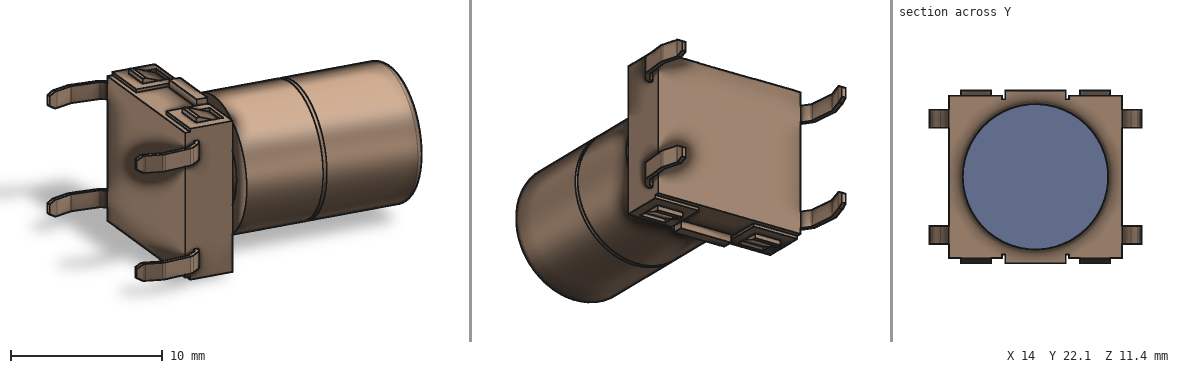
import cadquery as cq
import math


housing_width = 11.4
housing_depth = 3.5
base_height = 10.25
plate_height = 10.7
overall_height = 11.4

plate_width = 3.5
plate_setback = 0.37

tab_width = 4.0
tab_depth = 0.8

latch_size = 2.0
latch_offset = 3.92
latch_back_gap = 0.3
latch_sink = 0.28
latch_flat = 0.28

stem_diameter = 6.6
stem_length = 1.5
cap_diameter = 9.6
cap_length = 13.1
cap_edge_radius = 0.5
seam_from_cap_top = 7.33
seam_width = 0.28
seam_depth = 0.07

lead_span = 14.0
lead_thickness = 0.3
lead_width = 1.2
lead_offset = 3.83
lead_exit_y = 0.93
lead_length = 4.0
lead_root = 0.5
shoulder_x = 6.08
knee_x = 6.79
knee_y = -0.03
widest_y = -2.22
ankle_x = 6.63
ankle_y = -3.47
tip_x = 6.57
shoulder_inner_radius = 0.4
bend_inner_radius = 0.2
tip_taper_length = 0.46
tip_taper_depth = 0.26

housing_half_width = housing_width / 2
plate_z = plate_height / 2
top_z = overall_height / 2


def box(x_range, y_range, z_range):
    """Axis-aligned box between pairs of limits."""
    size = [limits[1] - limits[0] for limits in (x_range, y_range, z_range)]
    corner = (x_range[0], y_range[0], z_range[0])
    return cq.Workplane("XY").box(*size, centered=False).translate(corner)


def mirrored(shape, plane):
    """The shape joined with its mirror image."""
    return shape.union(shape.mirror(plane))


def make_corner_plate():
    """Plate at +X, +Z with a window and the latch ramp inside it."""
    plate = box(
        (housing_half_width - plate_width, housing_half_width),
        (plate_setback, housing_depth),
        (0, plate_z),
    )
    window_x = latch_offset - latch_size / 2
    ramp_low_y = housing_depth - latch_back_gap
    ramp_end_y = ramp_low_y - latch_size
    sunk_z = plate_z - latch_sink
    window = box((window_x, window_x + latch_size), (ramp_end_y, ramp_low_y), (sunk_z, top_z))
    ramp = (
        cq.Workplane("YZ", origin=(window_x, 0, 0))
        .polyline([
            (ramp_low_y, sunk_z),
            (ramp_end_y + latch_flat, top_z),
            (ramp_end_y, top_z),
            (ramp_end_y, sunk_z),
        ])
        .close()
        .extrude(latch_size)
    )
    return window, plate, ramp


def make_housing():
    base = box(
        (-housing_half_width, housing_half_width),
        (0, housing_depth),
        (-base_height / 2, base_height / 2),
    )
    tab = box(
        (-tab_width / 2, tab_width / 2),
        (housing_depth - tab_depth, housing_depth),
        (0, top_z),
    )
    window, plate, ramp = (
        mirrored(mirrored(shape, "YZ"), "XY") for shape in make_corner_plate()
    )
    return base.union(plate).union(mirrored(tab, "XY")).cut(window).union(ramp)


def make_button():
    """Stem and cap as one revolved profile with a rounded seam groove."""
    stem_radius = stem_diameter / 2
    cap_radius = cap_diameter / 2
    cap_start = housing_depth + stem_length
    cap_end = cap_start + cap_length
    seam_y = cap_end - seam_from_cap_top
    arc_offset = cap_edge_radius * (1 - math.sqrt(0.5))
    return (
        cq.Workplane("XY")
        .moveTo(0, housing_depth)
        .lineTo(stem_radius, housing_depth)
        .lineTo(stem_radius, cap_start)
        .lineTo(cap_radius, cap_start)
        .lineTo(cap_radius, seam_y - seam_width / 2)
        .threePointArc(
            (cap_radius - seam_depth, seam_y),
            (cap_radius, seam_y + seam_width / 2),
        )
        .lineTo(cap_radius, cap_end - cap_edge_radius)
        .threePointArc(
            (cap_radius - arc_offset, cap_end - arc_offset),
            (cap_radius - cap_edge_radius, cap_end),
        )
        .lineTo(0, cap_end)
        .close()
        .revolve(360, (0, 0, 0), (0, 1, 0))
    )


def inner_side(outer):
    """Points of a polyline moved to its right by the lead thickness, mitred at the corners."""
    headings = [
        math.atan2(end[1] - start[1], end[0] - start[0])
        for start, end in zip(outer, outer[1:])
    ]
    arriving = headings[:1] + headings
    leaving = headings + headings[-1:]
    points = []
    for (x, y), before, after in zip(outer, arriving, leaving):
        normal = (before + after) / 2 - math.pi / 2
        distance = lead_thickness / math.cos((after - before) / 2)
        points.append((x + distance * math.cos(normal), y + distance * math.sin(normal)))
    return points


def make_lead():
    """Lead at +X, +Z."""
    outer = [
        (housing_half_width - lead_root, lead_exit_y),
        (shoulder_x, lead_exit_y),
        (knee_x, knee_y),
        (lead_span / 2, widest_y),
        (ankle_x, ankle_y),
        (tip_x, -lead_length),
    ]
    inner = inner_side(outer)
    lead = (
        cq.Workplane("XY", origin=(0, 0, lead_offset - lead_width / 2))
        .polyline(outer + inner[::-1])
        .close()
        .extrude(lead_width)
    )
    bend_radii = [shoulder_inner_radius] + [bend_inner_radius] * (len(outer) - 3)
    for side, extra_radius in ((outer, lead_thickness), (inner, 0)):
        for (x, y), inner_radius in zip(side[1:-1], bend_radii):
            corner_edge = cq.NearestToPointSelector((x, y, lead_offset))
            lead = lead.edges(corner_edge).fillet(inner_radius + extra_radius)

    taper_start = -lead_length + tip_taper_length
    half_width = lead_width / 2
    tip_half_width = half_width - tip_taper_depth
    outline = (
        cq.Workplane("YZ")
        .polyline([
            (lead_exit_y, lead_offset - half_width),
            (taper_start, lead_offset - half_width),
            (-lead_length, lead_offset - tip_half_width),
            (-lead_length, lead_offset + tip_half_width),
            (taper_start, lead_offset + half_width),
            (lead_exit_y, lead_offset + half_width),
        ])
        .close()
        .extrude(lead_span)
    )
    return lead.intersect(outline)


leads = mirrored(mirrored(make_lead(), "YZ"), "XY")
result = make_housing().union(make_button()).union(leads)